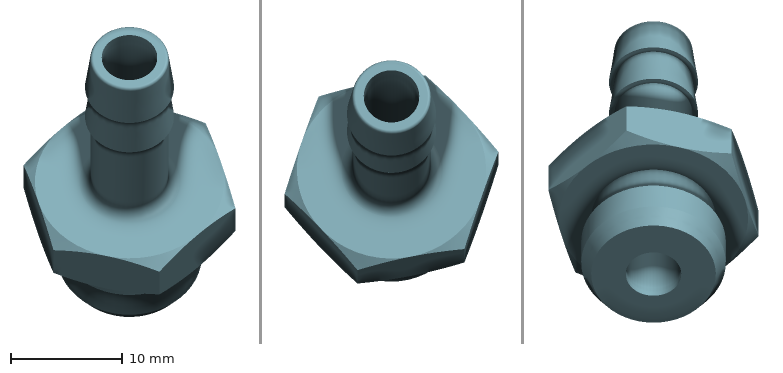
import cadquery as cq
import math

total_height = 32.0
hex_bottom = 8.0
hex_top = 13.0
thread_chamfer_height = 1.6
thread_top = 4.6
neck_bottom = 5.5
lower_barb_bottom = 23.0
barb_length = (total_height - lower_barb_bottom) / 2

bore_diameter = 5.0
tube_diameter = 7.0
barb_diameter = 8.0
neck_diameter = 11.2
thread_diameter = 13.0
hex_across_flats = 17.0
hex_across_corners = hex_across_flats / math.cos(math.pi / 6)

root_fillet = 1.0
tip_fillet = 0.3
hex_chamfer_angle = math.radians(30)

bore_radius = bore_diameter / 2
tube_radius = tube_diameter / 2
barb_radius = barb_diameter / 2
neck_radius = neck_diameter / 2
thread_radius = thread_diameter / 2


def revolve_profile(profile):
    """Turn a closed radius-height outline about the Z axis."""
    return profile.close().revolve(360, (0, 0, 0), (0, 1, 0))


def make_thread_end():
    """Plain thread cylinder with a tapered lead-in and a relief neck."""
    return revolve_profile(
        cq.Workplane("XZ")
        .lineTo(neck_radius, 0)
        .lineTo(thread_radius, thread_chamfer_height)
        .lineTo(thread_radius, thread_top)
        .lineTo(neck_radius, neck_bottom)
        .lineTo(neck_radius, hex_bottom)
        .lineTo(0, hex_bottom)
    )


def make_hexagon():
    """Hexagon with corners on X, its corners turned down conically at both ends."""
    height = hex_top - hex_bottom
    flat_radius = hex_across_flats / 2
    corner_radius = hex_across_corners / 2
    drop = (corner_radius - flat_radius) * math.tan(hex_chamfer_angle)
    prism = (
        cq.Workplane("XY")
        .workplane(offset=hex_bottom)
        .polygon(6, hex_across_corners)
        .extrude(height)
    )
    envelope = revolve_profile(
        cq.Workplane("XZ")
        .moveTo(0, hex_bottom)
        .lineTo(flat_radius, hex_bottom)
        .lineTo(corner_radius, hex_bottom + drop)
        .lineTo(corner_radius, hex_top - drop)
        .lineTo(flat_radius, hex_top)
        .lineTo(0, hex_top)
    )
    return prism.intersect(envelope)


def make_hose_tail():
    """Tube with a concave root fillet, two barbs and a rounded tip."""
    diagonal = root_fillet * (1 - math.sqrt(0.5))
    profile = (
        cq.Workplane("XZ")
        .moveTo(0, hex_top)
        .lineTo(tube_radius + root_fillet, hex_top)
        .threePointArc(
            (tube_radius + diagonal, hex_top + diagonal),
            (tube_radius, hex_top + root_fillet),
        )
        .lineTo(tube_radius, lower_barb_bottom)
    )
    for barb in range(2):
        barb_bottom = lower_barb_bottom + barb * barb_length
        profile = (
            profile.lineTo(barb_radius, barb_bottom)
            .lineTo(tube_radius, barb_bottom + barb_length)
        )
    tail = revolve_profile(profile.lineTo(0, total_height))
    return tail.faces(">Z").edges().fillet(tip_fillet)


bore = cq.Workplane("XY").circle(bore_radius).extrude(total_height)
result = make_thread_end().union(make_hexagon()).union(make_hose_tail()).cut(bore)